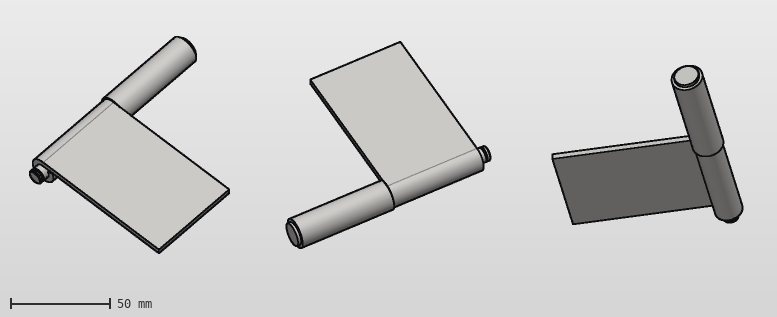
import cadquery as cq
import math


barrel_radius = 8.0
barrel_length = 52.5

pin_radius = 4.0
pin_overhang = 6.0
tip_chamfer = 0.5
groove_depth = 0.5
groove_width = 0.7
groove_to_tip = 1.9
head_radius = 6.5
head_height = 1.75
head_rim_bulge = 0.35

leaf_length = 51.75
leaf_thickness = 3.2
leaf_reach = 80.0
curl_end_angle = math.radians(30)
curl_outer_radius = pin_radius + leaf_thickness

head_seat = barrel_length
pin_tip = -(leaf_length + pin_overhang)
groove_start = pin_tip + groove_to_tip
groove_end = groove_start + groove_width


def axial_cylinder(radius, y_start, y_end):
    """Solid cylinder on the hinge axis between two Y positions."""
    return cq.Workplane("XZ", origin=(0, y_start, 0)).circle(radius).extrude(y_start - y_end)


def make_barrel():
    """Plain sleeve bored for the pin."""
    sleeve = axial_cylinder(barrel_radius, 0, barrel_length)
    return sleeve.cut(axial_cylinder(pin_radius, 0, barrel_length))


def make_leaf():
    """Flat plate tangent to a curl that wraps under the pin and ends on a radial cut."""
    end_cos = math.cos(curl_end_angle)
    end_sin = math.sin(curl_end_angle)
    top_angle = math.radians(90)
    middle_angle = (top_angle + curl_end_angle + math.radians(360)) / 2
    middle_cos = math.cos(middle_angle)
    middle_sin = math.sin(middle_angle)
    outer = curl_outer_radius
    inner = pin_radius
    return (
        cq.Workplane("XZ")
        .moveTo(leaf_reach, inner)
        .lineTo(leaf_reach, outer)
        .lineTo(0, outer)
        .threePointArc((outer * middle_cos, outer * middle_sin), (outer * end_cos, outer * end_sin))
        .lineTo(inner * end_cos, inner * end_sin)
        .threePointArc((inner * middle_cos, inner * middle_sin), (0, inner))
        .close()
        .extrude(leaf_length)
    )


def make_head():
    """Disc with an outward-bulging rim, revolved about the hinge axis."""
    rim_edge_radius = head_radius - head_rim_bulge
    head_middle = head_seat + head_height / 2
    head_end = head_seat + head_height
    return (
        cq.Workplane("XY")
        .moveTo(0, head_seat)
        .lineTo(rim_edge_radius, head_seat)
        .threePointArc((head_radius, head_middle), (rim_edge_radius, head_end))
        .lineTo(0, head_end)
        .close()
        .revolve(360, (0, 0, 0), (0, 1, 0))
    )


def make_pin():
    """Pin with a head seated on the barrel end and a ring groove near its chamfered tip."""
    shank = axial_cylinder(pin_radius, pin_tip, head_seat).faces("<Y").chamfer(tip_chamfer)
    groove = axial_cylinder(pin_radius, groove_start, groove_end).cut(
        axial_cylinder(pin_radius - groove_depth, groove_start, groove_end)
    )
    return shank.cut(groove).union(make_head())


barrel = make_barrel()
leaf = make_leaf()
pin = make_pin()

result = cq.Compound.makeCompound([barrel.val(), leaf.val(), pin.val()])